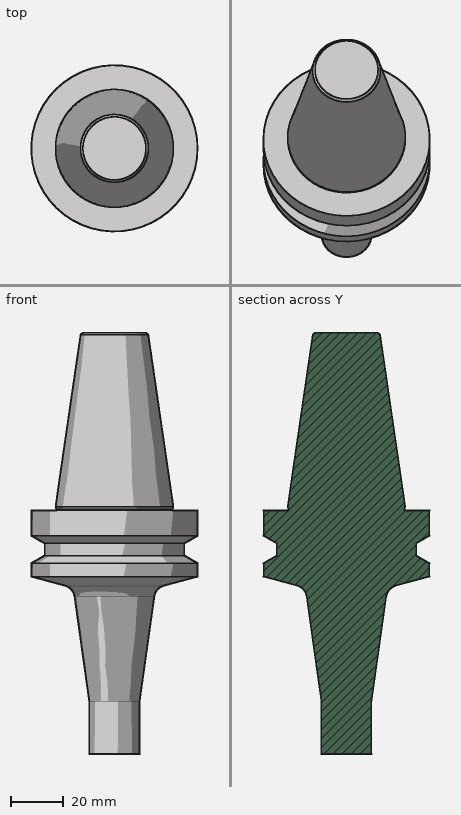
import cadquery as cq
import math

TOTAL_LENGTH = 159.4

NOSE_RADIUS = 19.1 / 2
NOSE_LENGTH = 20.1
NOSE_CONE_ANGLE = 8.0
NOSE_FILLET = 4.8

FLANGE_RADIUS = 63.0 / 2
FLANGE_BOTTOM = 67.1
FLANGE_TOP = 92.1
UNDERSIDE_ANGLE = 15.0
GROOVE_RADIUS = 53.0 / 2
GROOVE_WALL_ANGLE = 30.0
GROOVE_BOTTOM = 72.2
GROOVE_TOP = 82.5

NECK_RADIUS = 44.0 / 2
NECK_LENGTH = 0.5
NECK_FLARE_HEIGHT = 1.0
TAPER_BASE_RADIUS = 44.6 / 2
TAPER_SLOPE = 7 / 24 / 2
TOP_CHAMFER = 0.8

cone_slope = math.tan(math.radians(NOSE_CONE_ANGLE))
underside_slope = math.tan(math.radians(UNDERSIDE_ANGLE))
root_height = (
    FLANGE_BOTTOM - (FLANGE_RADIUS - NOSE_RADIUS + NOSE_LENGTH * cone_slope) * underside_slope
) / (1 - cone_slope * underside_slope)
root_radius = NOSE_RADIUS + (root_height - NOSE_LENGTH) * cone_slope

groove_wall_height = (FLANGE_RADIUS - GROOVE_RADIUS) * math.tan(math.radians(GROOVE_WALL_ANGLE))
taper_base = FLANGE_TOP + NECK_LENGTH + NECK_FLARE_HEIGHT
taper_top_radius = TAPER_BASE_RADIUS - (TOTAL_LENGTH - taper_base) * TAPER_SLOPE

half_section = [
    (0, 0),
    (NOSE_RADIUS, 0),
    (NOSE_RADIUS, NOSE_LENGTH),
    (root_radius, root_height),
    (FLANGE_RADIUS, FLANGE_BOTTOM),
    (FLANGE_RADIUS, GROOVE_BOTTOM),
    (GROOVE_RADIUS, GROOVE_BOTTOM + groove_wall_height),
    (GROOVE_RADIUS, GROOVE_TOP - groove_wall_height),
    (FLANGE_RADIUS, GROOVE_TOP),
    (FLANGE_RADIUS, FLANGE_TOP),
    (NECK_RADIUS, FLANGE_TOP),
    (NECK_RADIUS, FLANGE_TOP + NECK_LENGTH),
    (TAPER_BASE_RADIUS, taper_base),
    (taper_top_radius, TOTAL_LENGTH),
    (0, TOTAL_LENGTH),
]

body = cq.Workplane("XZ").polyline(half_section).close().revolve(360, (0, 0), (0, 1))

nose_root = cq.selectors.BoxSelector(
    (-FLANGE_RADIUS, -FLANGE_RADIUS, root_height - NOSE_FILLET),
    (FLANGE_RADIUS, FLANGE_RADIUS, root_height + NOSE_FILLET),
    boundingbox=True,
)
body = body.edges("%CIRCLE").edges(nose_root).fillet(NOSE_FILLET)

result = body.faces(">Z").edges().chamfer(TOP_CHAMFER)